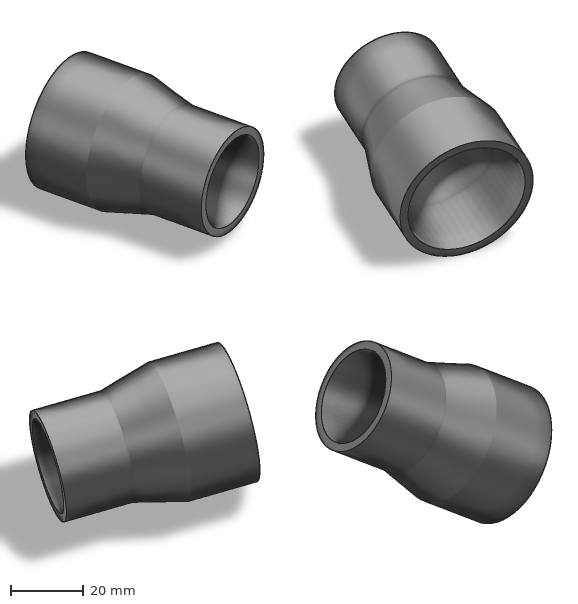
import cadquery as cq

total_length = 55.0
socket_length = 20.0
taper_end = total_length - socket_length

wide_outer_diameter = 40.0
wide_bore_diameter = 35.2
narrow_outer_diameter = 32.0
narrow_bore_diameter = 27.2


def stepped_body(wide_diameter, narrow_diameter):
    """Wide cylinder, straight taper and narrow cylinder, revolved about X."""
    wide_radius = wide_diameter / 2
    narrow_radius = narrow_diameter / 2
    return (
        cq.Workplane("XY")
        .moveTo(0, 0)
        .lineTo(0, wide_radius)
        .lineTo(socket_length, wide_radius)
        .lineTo(taper_end, narrow_radius)
        .lineTo(total_length, narrow_radius)
        .lineTo(total_length, 0)
        .close()
        .revolve(360, (0, 0, 0), (1, 0, 0))
    )


outer_body = stepped_body(wide_outer_diameter, narrow_outer_diameter)
bore = stepped_body(wide_bore_diameter, narrow_bore_diameter)
result = outer_body.cut(bore)